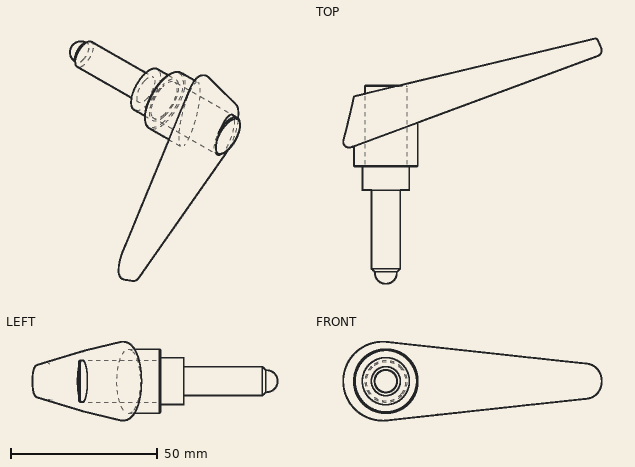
import cadquery as cq


BLANK_HEIGHT = 53.1
HEAD_RADIUS = 16.7
HEAD_DRAFT = 0.24
TIP_RADIUS = 11.5
TIP_DRAFT = 0.14
TIP_X = 80.05
TIP_LEAN = 0.3
LOWER_Y = 11.1
LOWER_SLOPE = 0.37
UPPER_Y = 26.7
UPPER_SLOPE = 0.24
LOWER_FILLET = 2.0
UPPER_FILLET = 1.0

HUB_RADIUS = 11.0
HUB_CHAMFER = 0.4
HUB_TOP = 17.7

CAP_RADIUS = 7.2
CAP_TOP = 28.0
CAP_CHAMFER = 0.4
COLLAR_RADIUS = 8.1
COLLAR_LENGTH = 8.0
STUD_RADIUS = 5.0
STUD_END = -35.9
STUD_CHAMFER = 1.1
BALL_RADIUS = 3.8
BALL_TIP = -40.0

WEDGE_LEFT = -35.4
WEDGE_RIGHT = 106.3
WEDGE_HALF_WIDTH = 35.4


def y_cylinder(radius, start, end):
    """Cylinder about the Y axis between two heights."""
    return cq.Workplane("XZ", origin=(0, start, 0)).circle(radius).extrude(start - end)


def lower_face_y(x):
    return LOWER_Y + LOWER_SLOPE * x


def upper_face_y(x):
    return UPPER_Y + UPPER_SLOPE * x


def make_wedge():
    """Space between the lower and upper faces of the arm."""
    return (
        cq.Workplane("XY")
        .moveTo(WEDGE_LEFT, lower_face_y(WEDGE_LEFT))
        .lineTo(WEDGE_RIGHT, lower_face_y(WEDGE_RIGHT))
        .lineTo(WEDGE_RIGHT, upper_face_y(WEDGE_RIGHT))
        .lineTo(WEDGE_LEFT, upper_face_y(WEDGE_LEFT))
        .close()
        .extrude(WEDGE_HALF_WIDTH, both=True)
    )


def half_disc(radius, center_x, y, side):
    """Half-disc wire at height y, bulging towards +X (side 1) or -X (side -1)."""
    return (
        cq.Workplane("XZ", origin=(center_x, y, 0))
        .moveTo(0, radius)
        .threePointArc((side * radius, 0), (0, -radius))
        .close()
        .val()
    )


def make_head():
    """Drafted half-cone around the clamping axis."""
    top_radius = HEAD_RADIUS - HEAD_DRAFT * BLANK_HEIGHT
    outlines = [half_disc(HEAD_RADIUS, 0, 0, -1), half_disc(top_radius, 0, BLANK_HEIGHT, -1)]
    return cq.Workplane(obj=cq.Solid.makeLoft(outlines, True)).intersect(make_wedge())


def make_tip():
    """Leaning, drafted half-cone at the free end."""
    top_radius = TIP_RADIUS - TIP_DRAFT * BLANK_HEIGHT
    top_x = TIP_X - TIP_LEAN * BLANK_HEIGHT
    outlines = [half_disc(TIP_RADIUS, TIP_X, 0, 1), half_disc(top_radius, top_x, BLANK_HEIGHT, 1)]
    return cq.Workplane(obj=cq.Solid.makeLoft(outlines, True)).intersect(make_wedge())


def station_corners(station):
    """Front and back points of an (x, y, half width) station."""
    x, y, half_width = station
    return cq.Vector(x, y, -half_width), cq.Vector(x, y, half_width)


def flat_face(*corners):
    return cq.Face.makeFromWires(cq.Wire.makePolygon(corners, close=True))


def flank_face(lower_start, lower_end, upper_start, upper_end):
    """Slightly twisted ruled face between two straight edges."""
    lower_edge = cq.Edge.makeLine(lower_start, lower_end)
    upper_edge = cq.Edge.makeLine(upper_start, upper_end)
    return cq.Face.makeRuledSurface(lower_edge, upper_edge)


def head_station(y):
    return 0, y, HEAD_RADIUS - HEAD_DRAFT * y


def tip_station(face_y, slope):
    """Point where the leaning tip section meets a sloping face."""
    y = face_y(TIP_X) / (1 + slope * TIP_LEAN)
    return TIP_X - TIP_LEAN * y, y, TIP_RADIUS - TIP_DRAFT * y


def make_shank():
    """Straight-edged bar joining the head to the tip."""
    head_low = station_corners(head_station(LOWER_Y))
    head_high = station_corners(head_station(UPPER_Y))
    tip_low = station_corners(tip_station(lower_face_y, LOWER_SLOPE))
    tip_high = station_corners(tip_station(upper_face_y, UPPER_SLOPE))
    faces = []
    for first, second in (
        (head_low, head_high),
        (head_high, tip_high),
        (tip_high, tip_low),
        (tip_low, head_low),
    ):
        faces.append(flat_face(first[0], first[1], second[1], second[0]))
    for side in (0, 1):
        faces.append(flank_face(head_low[side], tip_low[side], head_high[side], tip_high[side]))
    return cq.Workplane(obj=cq.Solid.makeSolid(cq.Shell.makeShell(faces)).fix())


def make_arm():
    arm = make_head().union(make_shank()).union(make_tip()).clean()
    lower_direction = cq.selectors.DirectionMinMaxSelector(cq.Vector(LOWER_SLOPE, -1, 0), True)
    upper_direction = cq.selectors.DirectionMinMaxSelector(cq.Vector(-UPPER_SLOPE, 1, 0), True)
    arm = arm.faces(lower_direction).edges().fillet(LOWER_FILLET)
    return arm.faces(upper_direction).edges().fillet(UPPER_FILLET)


def make_screw():
    """Screw with a cap, a collar below the hub and a ball-ended stud."""
    cap = y_cylinder(CAP_RADIUS, 0, CAP_TOP).faces(">Y").chamfer(CAP_CHAMFER)
    collar = y_cylinder(COLLAR_RADIUS, -COLLAR_LENGTH, 0)
    stud = y_cylinder(STUD_RADIUS, STUD_END, -COLLAR_LENGTH).faces("<Y").chamfer(STUD_CHAMFER)
    ball = cq.Workplane("XY").sphere(BALL_RADIUS).translate((0, BALL_TIP + BALL_RADIUS, 0))
    return cap.union(collar).union(stud).union(ball)


def make_lever():
    """Arm and hub with a through bore that fits the screw cap."""
    hub = y_cylinder(HUB_RADIUS, 0, HUB_TOP).faces("<Y").chamfer(HUB_CHAMFER)
    bore = y_cylinder(CAP_RADIUS, 0, CAP_TOP + CAP_RADIUS)
    return make_arm().union(hub).cut(bore)


lever = make_lever()
screw = make_screw()
result = cq.Compound.makeCompound([lever.val(), screw.val()])